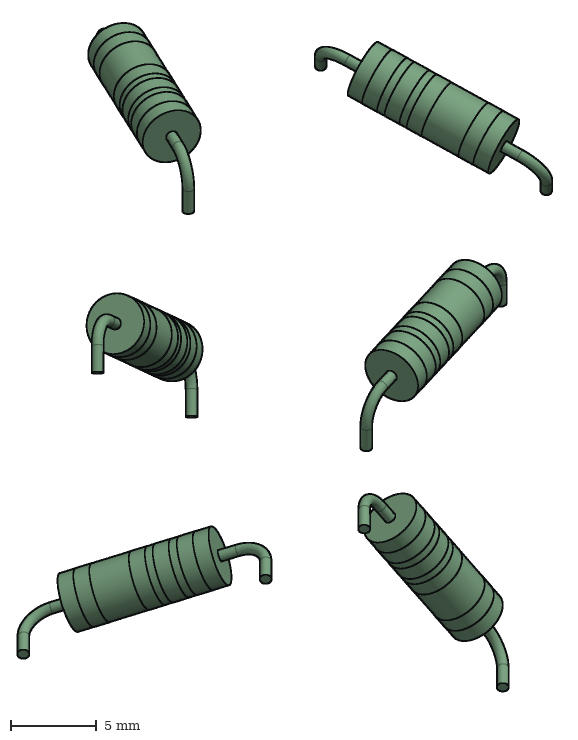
import cadquery as cq

overall_length = 15.94
wire_diameter = 0.7
lead_pitch = overall_length - wire_diameter
bend_radius = 1.79

body_length = 9.5
body_diameter = 3.6
band_diameter = 3.62
band_width = 1.0
band_offsets = [1.0, 4.5, 6.0, 7.5]

overall_height = 5.21
lead_drop = overall_height - band_diameter / 2


def tube(start_x, length, outer_diameter, inner_diameter):
    """Hollow cylinder along X, starting at start_x."""
    return (
        cq.Workplane("YZ", origin=(start_x, 0, 0))
        .circle(outer_diameter / 2)
        .circle(inner_diameter / 2)
        .extrude(length)
    )


def make_body():
    """Cylindrical body with a through hole for the wire."""
    return tube(-body_length / 2, body_length, body_diameter, wire_diameter)


def make_band(offset):
    """Thin colour band around the body."""
    return tube(-body_length / 2 + offset, band_width, band_diameter, body_diameter)


def make_wire():
    """One round wire through the body, bent down at both ends."""
    lead_x = lead_pitch / 2
    straight_x = lead_x - bend_radius
    path = (
        cq.Workplane("XZ")
        .moveTo(-lead_x, -lead_drop)
        .lineTo(-lead_x, -bend_radius)
        .tangentArcPoint((-straight_x, 0), relative=False)
        .lineTo(straight_x, 0)
        .tangentArcPoint((lead_x, -bend_radius), relative=False)
        .lineTo(lead_x, -lead_drop)
    )
    tip = cq.Workplane("XY", origin=(-lead_x, 0, -lead_drop))
    return tip.circle(wire_diameter / 2).sweep(path)


body = make_body()
wire = make_wire()
bands = [make_band(offset) for offset in band_offsets]

result = cq.Compound.makeCompound([body.val(), wire.val(), *[band.val() for band in bands]])